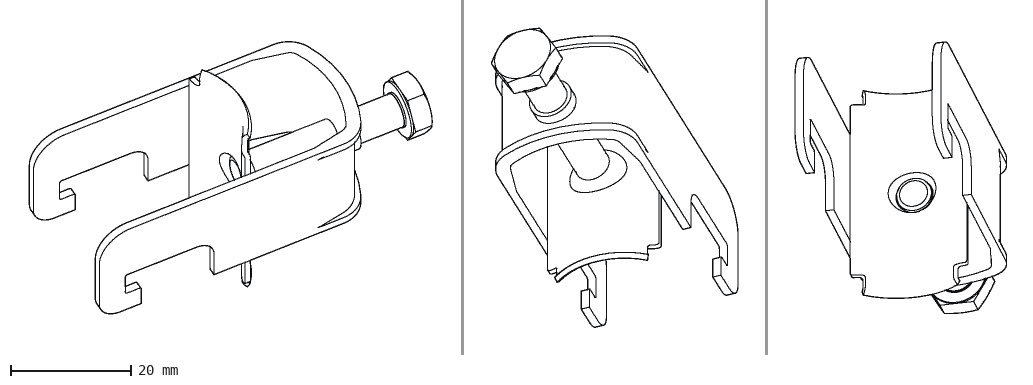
import cadquery as cq
import math


clamp_width = 25.0
clamp_bottom = -7.2
clamp_height = 20.0
clamp_top = clamp_bottom + clamp_height
leg_thickness = 1.5
inner_half_width = clamp_width / 2 - leg_thickness
crown_outer_y = 52.95
crown_thickness = 2.4
crown_inner_y = crown_outer_y - crown_thickness
crown_outer_radius = 22.7
crown_inner_radius = 19.35
shoulder_outer_radius = 5.35
shoulder_inner_radius = 2.0
taper_start_y = 41.2
taper_end_half_width = 9.6
rim_width = 1.5
boss_diameter = 7.5
boss_end_y = 53.95

hook_top_radius = 6.0
hook_bottom_radius = 4.0
slot_start_y = 4.95
slot_end_y = 21.6
slot_top_z = 1.5
slot_corner_radius = 3.35
hook_tip_y = 7.95
hook_tip_z = -3.15
hook_small_radius = 0.4

screw_diameter = 6.0
head_end_y = 66.7
head_across_flats = 10.0
head_height = 3.55
head_chamfer_angle = 30.0
collar_diameter = 10.0
collar_height = 0.4
neck_diameter = 6.3
neck_height = 0.35
tip_end_diameter = 4.8
tip_chamfer = 0.35
tip_end_y = 32.4

saddle_height = 38.5
saddle_thickness = 1.0
saddle_inner_radius = 12.15
saddle_outer_radius = saddle_inner_radius + saddle_thickness
saddle_inner_y = 32.1
saddle_axis_y = saddle_inner_y - saddle_inner_radius
saddle_half_angle = 38.3
lip_bend_radius = 0.8
lip_angle = 62.0
wing_width = 20.0
wing_height = 32.0
wing_bend_radius = 2.2
wing_corner_radius = 0.4
wing_root_radius = 0.5
flare_start_y = 34.7
flare_slope = 0.8
flare_end_y = 30.7
dimple_diameter = 7.5
dimple_slope = 0.5
dimple_depth = 1.5

far = 2 * clamp_width


def arc_drop(radius, half_width):
    """Drop of a circular arc from its crest at a given half width."""
    return radius - math.sqrt(radius**2 - half_width**2)


def y_cylinder(diameter, start_y, end_y):
    """Cylinder on the Y axis."""
    return cq.Workplane("XZ", origin=(0, start_y, 0)).circle(diameter / 2).extrude(start_y - end_y)


def y_cone(start_y, start_radius, end_y, end_radius):
    """Solid cone frustum on the Y axis."""
    return (
        cq.Workplane("XY")
        .moveTo(0, start_y)
        .lineTo(start_radius, start_y)
        .lineTo(end_radius, end_y)
        .lineTo(0, end_y)
        .close()
        .revolve(360, (0, 0, 0), (0, 1, 0))
    )


def clamp_outer():
    """Solid envelope of the U, with rounded shoulders."""
    half = clamp_width / 2
    shoulder_y = crown_outer_y - arc_drop(crown_outer_radius, half)
    return (
        cq.Workplane("XY", origin=(0, 0, clamp_bottom))
        .moveTo(-half, 0)
        .lineTo(-half, shoulder_y)
        .threePointArc((0, crown_outer_y), (half, shoulder_y))
        .lineTo(half, 0)
        .close()
        .extrude(clamp_height)
        .edges("|Z")
        .edges(">Y")
        .fillet(shoulder_outer_radius)
    )


def tapered_core(bottom_z, height, wall, corner_radius):
    """Inside of the U, grown outwards by a wall thickness."""
    leg_half_width = inner_half_width + wall
    shoulder_half_width = taper_end_half_width + wall
    crown_y = crown_inner_y + wall
    shoulder_y = crown_y - arc_drop(crown_inner_radius + wall, shoulder_half_width)
    return (
        cq.Workplane("XY", origin=(0, 0, bottom_z))
        .moveTo(-leg_half_width, -far)
        .lineTo(-leg_half_width, taper_start_y)
        .lineTo(-shoulder_half_width, shoulder_y)
        .threePointArc((0, crown_y), (shoulder_half_width, shoulder_y))
        .lineTo(leg_half_width, taper_start_y)
        .lineTo(leg_half_width, -far)
        .close()
        .extrude(height)
        .edges("|Z")
        .edges(">Y")
        .fillet(corner_radius)
    )


def hook_profile():
    """Side outline of the strap with its hooks, as a solid across the full width."""
    outline = (
        cq.Sketch()
        .polygon([
            (0, clamp_bottom),
            (0, clamp_top),
            (crown_outer_y, clamp_top),
            (crown_outer_y, clamp_bottom),
            (slot_end_y, clamp_bottom),
            (slot_end_y, slot_top_z),
            (slot_start_y, slot_top_z),
            (slot_start_y, hook_tip_z),
            (hook_tip_y, hook_tip_z),
            (hook_tip_y, clamp_bottom),
            (0, clamp_bottom),
        ])
    )
    plate = cq.Workplane("YZ", origin=(-far / 2, 0, 0)).placeSketch(outline).extrude(far)
    roundings = [
        (0, clamp_top, hook_top_radius),
        (0, clamp_bottom, hook_bottom_radius),
        (slot_end_y, slot_top_z, slot_corner_radius),
        (slot_start_y, slot_top_z, hook_small_radius),
        (slot_start_y, hook_tip_z, hook_small_radius),
        (hook_tip_y, hook_tip_z, hook_small_radius),
    ]
    for y, z, radius in roundings:
        plate = plate.edges(cq.selectors.NearestToPointSelector((0, y, z))).fillet(radius)
    return plate


def make_clamp():
    inside = tapered_core(clamp_bottom, clamp_height, 0, shoulder_inner_radius)
    strap = clamp_outer().cut(inside).intersect(hook_profile())

    band_bottom = clamp_bottom + rim_width
    band_height = clamp_height - 2 * rim_width
    band = cq.Workplane("XY", origin=(0, 0, band_bottom)).rect(far, 4 * far).extrude(band_height)
    sheet = tapered_core(band_bottom, band_height, leg_thickness, shoulder_outer_radius)
    strap = strap.cut(band.cut(sheet))

    boss = y_cylinder(boss_diameter, crown_outer_y - crown_thickness / 2, boss_end_y)
    bore = y_cylinder(screw_diameter, taper_start_y, boss_end_y)
    return strap.union(boss).cut(bore)


def make_screw():
    head_seat_y = head_end_y - head_height
    collar_seat_y = head_seat_y - collar_height
    corner_radius = head_across_flats / math.sqrt(3)
    chamfer_depth = (corner_radius - head_across_flats / 2) * math.tan(math.radians(head_chamfer_angle))
    head = (
        cq.Workplane("XZ", origin=(0, head_seat_y, 0))
        .polygon(6, 2 * corner_radius)
        .extrude(-head_height)
    )
    head_rounding = y_cylinder(2 * corner_radius, head_seat_y, head_end_y - chamfer_depth).union(
        y_cone(head_end_y - chamfer_depth, corner_radius, head_end_y, head_across_flats / 2)
    )
    head = head.intersect(head_rounding)

    collar = y_cylinder(collar_diameter, collar_seat_y, head_seat_y)
    neck = y_cylinder(neck_diameter, collar_seat_y - neck_height, collar_seat_y)
    shank = y_cylinder(screw_diameter, flare_start_y, collar_seat_y)
    return head.union(collar).union(neck).union(shank)


def saddle_arc():
    """Curved plate whose upper and lower edges roll outwards into lips."""
    bend = math.radians(lip_angle)
    outer_bend_radius = lip_bend_radius + saddle_thickness
    bend_z = saddle_height / 2 - outer_bend_radius * math.sin(bend)
    bend_axis = saddle_outer_radius + lip_bend_radius

    def on_bend(radius, angle, side):
        return (bend_axis - radius * math.cos(angle), side * (bend_z + radius * math.sin(angle)))

    plate = (
        cq.Workplane("YZ")
        .moveTo(saddle_inner_radius, -bend_z)
        .lineTo(saddle_inner_radius, bend_z)
        .threePointArc(on_bend(outer_bend_radius, bend / 2, 1), on_bend(outer_bend_radius, bend, 1))
        .lineTo(*on_bend(lip_bend_radius, bend, 1))
        .threePointArc(on_bend(lip_bend_radius, bend / 2, 1), (saddle_outer_radius, bend_z))
        .lineTo(saddle_outer_radius, -bend_z)
        .threePointArc(on_bend(lip_bend_radius, bend / 2, -1), on_bend(lip_bend_radius, bend, -1))
        .lineTo(*on_bend(outer_bend_radius, bend, -1))
        .threePointArc(on_bend(outer_bend_radius, bend / 2, -1), (saddle_inner_radius, -bend_z))
        .close()
        .revolve(2 * saddle_half_angle, (0, 0, 0), (0, 1, 0))
    )
    return plate.rotate((0, 0, 0), (0, 0, 1), -saddle_half_angle).translate((0, saddle_axis_y, 0))


def saddle_wing():
    """Side wing at +X, bent back from the curved plate until it lies parallel to X."""
    angle = math.radians(saddle_half_angle)
    bend_centre_radius = saddle_outer_radius + wing_bend_radius
    centre_x = bend_centre_radius * math.sin(angle)
    centre_y = saddle_axis_y + bend_centre_radius * math.cos(angle)
    outer_bend_radius = wing_bend_radius + saddle_thickness

    def on_bend(radius, turn):
        return (centre_x - radius * math.sin(turn), centre_y - radius * math.cos(turn))

    blank_height = wing_height + 2 * wing_root_radius
    wing = (
        cq.Workplane("XY", origin=(0, 0, -blank_height / 2))
        .moveTo(*on_bend(wing_bend_radius, angle))
        .threePointArc(on_bend(wing_bend_radius, angle / 2), on_bend(wing_bend_radius, 0))
        .lineTo(wing_width / 2, centre_y - wing_bend_radius)
        .lineTo(wing_width / 2, centre_y - outer_bend_radius)
        .lineTo(centre_x, centre_y - outer_bend_radius)
        .threePointArc(on_bend(outer_bend_radius, angle / 2), on_bend(outer_bend_radius, angle))
        .close()
        .extrude(blank_height)
    )

    root = cq.Plane(
        origin=(0, saddle_axis_y, 0),
        xDir=(math.cos(angle), -math.sin(angle), 0),
        normal=(math.sin(angle), math.cos(angle), 0),
    )
    trim_sketch = (
        cq.Sketch()
        .push([(wing_width / 2, side * (wing_height + wing_width) / 2) for side in (-1, 1)])
        .rect(wing_width, wing_width)
        .reset()
        .vertices()
        .fillet(wing_root_radius)
    )
    wing = wing.cut(cq.Workplane(root).placeSketch(trim_sketch).extrude(2 * saddle_outer_radius))
    return wing.edges("|Y").edges(">X").fillet(wing_corner_radius)


def make_saddle():
    wing = saddle_wing()
    return saddle_arc().union(wing).union(wing.mirror("YZ"))


def saddle_core(radius):
    """Cylinder around the axis of the saddle's curvature."""
    return (
        cq.Workplane("XY", origin=(0, saddle_axis_y, -saddle_height / 2))
        .circle(radius)
        .extrude(saddle_height)
    )


def make_screw_with_saddle():
    """Screw and saddle as one body, joined by a flared collar with the screw tip in a dimple."""
    flare_end_radius = screw_diameter / 2 + flare_slope * (flare_start_y - flare_end_y)
    flare = y_cone(flare_end_y, flare_end_radius, flare_start_y, screw_diameter / 2)
    flare = flare.cut(saddle_core(saddle_inner_radius))

    dimple_top_y = saddle_inner_y + dimple_depth
    dimple_top_radius = dimple_diameter / 2 - dimple_slope * dimple_depth
    dimple_end_radius = dimple_diameter / 2 + dimple_slope * (saddle_inner_y - flare_end_y)
    dimple = y_cone(flare_end_y, dimple_end_radius, dimple_top_y, dimple_top_radius)
    dimple = dimple.intersect(saddle_core(saddle_inner_radius + dimple_depth))

    tip_shank = y_cylinder(screw_diameter, tip_end_y + tip_chamfer, flare_start_y)
    tip_cone = y_cone(tip_end_y, tip_end_diameter / 2, tip_end_y + tip_chamfer, screw_diameter / 2)
    body = make_screw().union(make_saddle()).union(flare).cut(dimple)
    return body.union(tip_shank).union(tip_cone)


clamp = make_clamp()
screw_with_saddle = make_screw_with_saddle()
result = cq.Compound.makeCompound([clamp.val(), screw_with_saddle.val()])